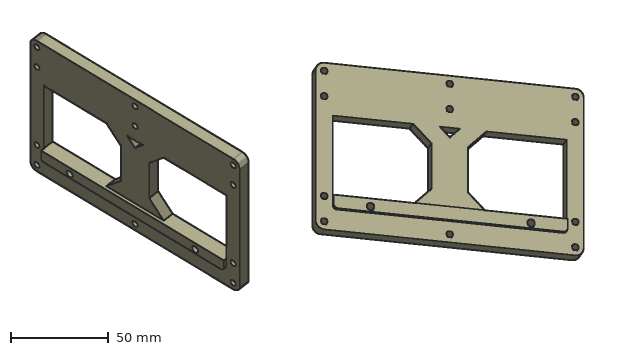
import cadquery as cq

PLATE_WIDTH = 141.97
PLATE_HEIGHT = 92.17
PLATE_THICKNESS = 7.0
CORNER_RADIUS = 4.5

MOUNT_HOLE_DIAMETER = 3.5
MOUNT_ROW_SPACING = 14.0
MOUNT_X = PLATE_WIDTH / 2 - CORNER_RADIUS
OUTER_ROW_Z = PLATE_HEIGHT / 2 - CORNER_RADIUS
INNER_ROW_Z = OUTER_ROW_Z - MOUNT_ROW_SPACING

WINDOW_OUTER_X = 61.9
WINDOW_TOP_Z = 17.35
WINDOW_BOTTOM_Z = -27.15
WEB_WIDTH = 19.3
WEB_FLARE = 9.8

TRIANGLE_HALF_WIDTH = 5.3
TRIANGLE_TIP_Z = WINDOW_TOP_Z - TRIANGLE_HALF_WIDTH

LEDGE_WIDTH = 2 * WINDOW_OUTER_X
LEDGE_HEIGHT = 7.3
LEDGE_PROJECTION = 2.0
LEDGE_CORNER_RADIUS = 2.0
LEDGE_CENTER_Z = WINDOW_BOTTOM_Z - LEDGE_HEIGHT / 2
LEDGE_HOLE_DIAMETER = 4.0
LEDGE_HOLE_X = 42.5
LEDGE_HOLE_Z = -31.6

TOTAL_DEPTH = PLATE_THICKNESS + LEDGE_PROJECTION


def front_sketch_plane(y):
    """XZ sketch plane at the given Y; extrusions run toward +Y."""
    return cq.Workplane("XZ", origin=(0, y, 0))


def through_prism(points):
    """Cutting prism with a polygonal XZ outline, as deep as the whole part."""
    return front_sketch_plane(-LEDGE_PROJECTION).polyline(points).close().extrude(-TOTAL_DEPTH)


def through_holes(points, diameter):
    """Cutting cylinders along Y, as deep as the whole part."""
    return front_sketch_plane(-LEDGE_PROJECTION).pushPoints(points).circle(diameter / 2).extrude(-TOTAL_DEPTH)


def make_plate():
    plate = front_sketch_plane(0).rect(PLATE_WIDTH, PLATE_HEIGHT).extrude(-PLATE_THICKNESS)
    return plate.edges("|Y").fillet(CORNER_RADIUS)


def make_ledge():
    ledge = (
        front_sketch_plane(-LEDGE_PROJECTION)
        .center(0, LEDGE_CENTER_Z)
        .rect(LEDGE_WIDTH, LEDGE_HEIGHT)
        .extrude(-LEDGE_PROJECTION)
    )
    return ledge.faces("<Z").edges("|Y").fillet(LEDGE_CORNER_RADIUS)


def make_window(side):
    """Window on the +X (side = 1) or -X (side = -1) half of the plate."""
    web_x = WEB_WIDTH / 2
    flare_x = web_x + WEB_FLARE
    return through_prism([
        (side * WINDOW_OUTER_X, WINDOW_TOP_Z),
        (side * flare_x, WINDOW_TOP_Z),
        (side * web_x, WINDOW_TOP_Z - WEB_FLARE),
        (side * web_x, WINDOW_BOTTOM_Z + WEB_FLARE),
        (side * flare_x, WINDOW_BOTTOM_Z),
        (side * WINDOW_OUTER_X, WINDOW_BOTTOM_Z),
    ])


def make_triangle():
    return through_prism([
        (-TRIANGLE_HALF_WIDTH, WINDOW_TOP_Z),
        (TRIANGLE_HALF_WIDTH, WINDOW_TOP_Z),
        (0, TRIANGLE_TIP_Z),
    ])


def make_mount_holes():
    """Four holes down each side and three on the centre line."""
    rows = (OUTER_ROW_Z, INNER_ROW_Z, -INNER_ROW_Z, -OUTER_ROW_Z)
    points = [(x, z) for x in (-MOUNT_X, MOUNT_X) for z in rows]
    points += [(0, z) for z in (OUTER_ROW_Z, INNER_ROW_Z, -OUTER_ROW_Z)]
    return through_holes(points, MOUNT_HOLE_DIAMETER)


def make_ledge_holes():
    points = [(x, LEDGE_HOLE_Z) for x in (-LEDGE_HOLE_X, LEDGE_HOLE_X)]
    return through_holes(points, LEDGE_HOLE_DIAMETER)


body = make_plate().union(make_ledge())
for side in (-1, 1):
    body = body.cut(make_window(side))
body = body.cut(make_triangle())
body = body.cut(make_mount_holes())
body = body.cut(make_ledge_holes())

result = cq.Workplane(body.val())